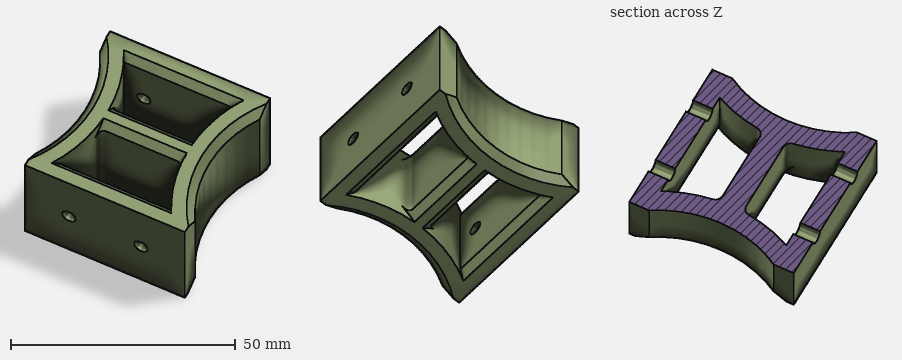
import cadquery as cq

width = 40.0
length = 41.3
height = 25.0

waist_half_width = 15.6
side_radius = 30.0
pocket_side_radius = 35.23
arc_centre_x = waist_half_width + side_radius

edge_chamfer = 1.85
end_wall = 5.0
rib_thickness = 6.0
pocket_chamfer = 1.78
rib_fillet = 1.8

hole_diameter = 3.3
hole_spacing = 18.0


def side_cutter(side):
    """Cylinder hollowing one side, with a flare at the top and bottom edges."""
    centre = (side * arc_centre_x, 0)
    cutter = cq.Workplane("XY").center(*centre).circle(side_radius).extrude(height / 2, both=True)
    flares = (
        cq.Workplane("XY", origin=(*centre, height / 2))
        .circle(side_radius + edge_chamfer)
        .workplane(offset=-edge_chamfer)
        .circle(side_radius)
        .loft()
    )
    return cutter.union(flares).union(flares.mirror("XY"))


def trim_to_pocket_sides(blank):
    """Give a pocket blank its bulging side walls."""
    for side in (-1, 1):
        blank = blank.cut(
            cq.Workplane("XY")
            .center(side * arc_centre_x, 0)
            .circle(pocket_side_radius)
            .extrude(height, both=True)
        )
    return blank


def make_pocket():
    """Through pocket on the +Y side, flared along the rib and the end wall."""
    inner_y = rib_thickness / 2
    outer_y = length / 2 - end_wall
    depth = outer_y - inner_y
    middle_y = (inner_y + outer_y) / 2

    straight = cq.Workplane("XY").center(0, middle_y).rect(width, depth).extrude(height / 2, both=True)
    straight = trim_to_pocket_sides(straight).edges("|Z and <Y").fillet(rib_fillet)

    flare_bottom = height / 2 - pocket_chamfer - rib_fillet
    flare = (
        cq.Workplane("YZ")
        .moveTo(inner_y + rib_fillet, flare_bottom)
        .lineTo(outer_y - rib_fillet, flare_bottom)
        .lineTo(outer_y + pocket_chamfer, height / 2)
        .lineTo(inner_y - pocket_chamfer, height / 2)
        .close()
        .extrude(width / 2, both=True)
    )
    flare = trim_to_pocket_sides(flare)
    return straight.union(flare).union(flare.mirror("XY"))


body = cq.Workplane("XY").box(width, length, height)
for side in (-1, 1):
    body = body.cut(side_cutter(side))

pocket = make_pocket()
body = body.cut(pocket).cut(pocket.mirror("XZ"))

for end in (-1, 1):
    holes = (
        cq.Workplane("XZ", origin=(0, end * length / 2, 0))
        .pushPoints([(-hole_spacing / 2, 0), (hole_spacing / 2, 0)])
        .circle(hole_diameter / 2)
        .extrude(end * (end_wall + pocket_chamfer))
    )
    body = body.cut(holes)

result = body